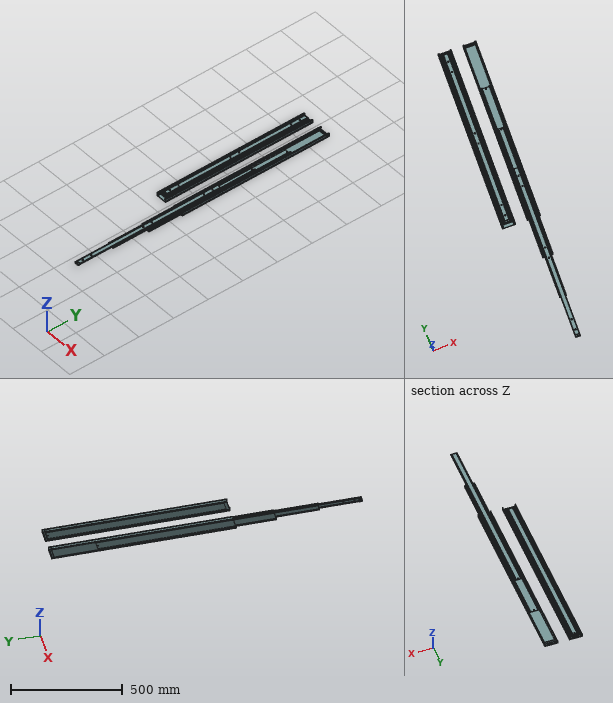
import cadquery as cq

overall_width = 180.0
slide_height = 25.0
sheet = 2.0

outer_length = 850.0
outer_width = 62.0
outer_height = 16.5
outer_lip = 6.0
outer_floor_width = 48.0
outer_bevel_height = 2.0
stop_height = 14.0
stop_depth = 9.0

member_length = 822.0
closed_front = 15.0

large_width = 48.5
large_channel_width = 38.0
large_bottom = 4.5
large_top = 20.8
large_race = 7.0

small_width = 31.0
small_bottom = 12.0
small_race = 6.0
small_floor_width = 20.0
small_bevel_height = 1.2

race_depth = 1.5

inner_width = 22.5
inner_bottom = 18.0
bumper_bottom = 14.5
bumper_length = 10.0
bumper_setback = 2.0

hole_diameter = 5.5
first_hole = 35.0
pair_spacing = 50.0
pair_pitch = 350.0
pair_count = 3
end_hole = 5.5
end_hole_diameter = 5.0

large_extension = 202.0
small_extension = 402.0
inner_extension = 600.0

slide_offset = (overall_width - outer_width) / 2


def extrude_profile(half_outline, front, length):
    """Mirror a half outline (X, Z) about X = 0 and extrude it toward +Y."""
    mirrored = [(-x, z) for x, z in reversed(half_outline)]
    profile = cq.Workplane("XZ", origin=(0, front, 0)).polyline(half_outline + mirrored).close()
    return profile.extrude(-length)


def block(width, front, depth, bottom, top):
    """Box centred on X between the given Y and Z limits."""
    box = cq.Workplane("XY").box(width, depth, top - bottom, centered=(True, False, False))
    return box.translate((0, front, bottom))


def drill(rail, diameter, places):
    """Vertical through holes on the centre line at the given Y places."""
    points = [(0, y) for y in places]
    return rail.cut(cq.Workplane("XY").pushPoints(points).circle(diameter / 2).extrude(slide_height))


def race(x, middle, height):
    """Three points, going up, of a V-shaped ball race in a wall face at X = x."""
    return [
        (x, middle - height / 2),
        (x - race_depth, middle),
        (x, middle + height / 2),
    ]


def outer_rail():
    half = outer_width / 2
    outline = [
        (half, 0),
        (half, outer_height),
        (half - outer_lip, outer_height),
        (half - outer_lip, outer_height - sheet),
        (half - sheet, outer_height - sheet),
        (half - sheet, sheet + outer_bevel_height),
        (outer_floor_width / 2, sheet),
    ]
    rail = extrude_profile(outline, 0, outer_length)
    inside_width = outer_width - 2 * sheet
    stop_front = closed_front + member_length
    foot = block(inside_width, stop_front, stop_depth, 0, 2 * sheet)
    upright = block(inside_width, stop_front, sheet, 0, stop_height)
    return rail.union(foot).union(upright)


def large_intermediate(front):
    half = large_width / 2
    half_channel = large_channel_width / 2
    middle = (large_bottom + large_top) / 2
    outline = [
        (half_channel, large_bottom),
        (half_channel, large_top - sheet),
        (half - sheet, large_top - sheet),
        *reversed(race(half - sheet, middle, large_race)),
        (half - sheet, large_bottom),
        (half, large_bottom),
        *race(half, middle, large_race),
        (half, large_top),
        (half_channel - sheet, large_top),
        (half_channel - sheet, large_bottom + sheet),
    ]
    rail = extrude_profile(outline, front, member_length)
    return drill(rail, end_hole_diameter, [front + member_length - end_hole])


def small_intermediate(front):
    half = small_width / 2
    middle = (small_bottom + slide_height) / 2
    floor = small_bottom + sheet
    outline = [
        (half, small_bottom),
        *race(half, middle, small_race),
        (half, slide_height),
        (half - sheet, slide_height),
        *reversed(race(half - sheet, middle, small_race)),
        (half - sheet, floor + small_bevel_height),
        (small_floor_width / 2, floor),
    ]
    rail = extrude_profile(outline, front, member_length)
    return drill(rail, end_hole_diameter, [front + member_length - end_hole])


def inner_rail(front):
    half = inner_width / 2
    outline = [
        (half - sheet, slide_height - sheet),
        (half - sheet, inner_bottom),
        (half, inner_bottom),
        (half, slide_height),
    ]
    rail = extrude_profile(outline, front, member_length)
    bumper_front = front + bumper_setback
    bumper = block(inner_width - 2 * sheet, bumper_front, bumper_length, bumper_bottom, slide_height)
    first_holes = [front + first_hole + i * pair_pitch for i in range(pair_count)]
    second_holes = [y + pair_spacing for y in first_holes]
    rail = drill(rail.union(bumper), hole_diameter, first_holes + second_holes)
    return drill(rail, end_hole_diameter, [front + end_hole])


def slide(x, large_travel, small_travel, inner_travel):
    """The four members of one slide, each pulled forward by its own travel."""
    members = [
        outer_rail(),
        large_intermediate(closed_front - large_travel),
        small_intermediate(closed_front - small_travel),
        inner_rail(closed_front - inner_travel),
    ]
    return [member.translate((x, 0, 0)).val() for member in members]


closed_slide = slide(-slide_offset, 0, 0, 0)
open_slide = slide(slide_offset, large_extension, small_extension, inner_extension)

result = cq.Compound.makeCompound([*closed_slide, *open_slide])